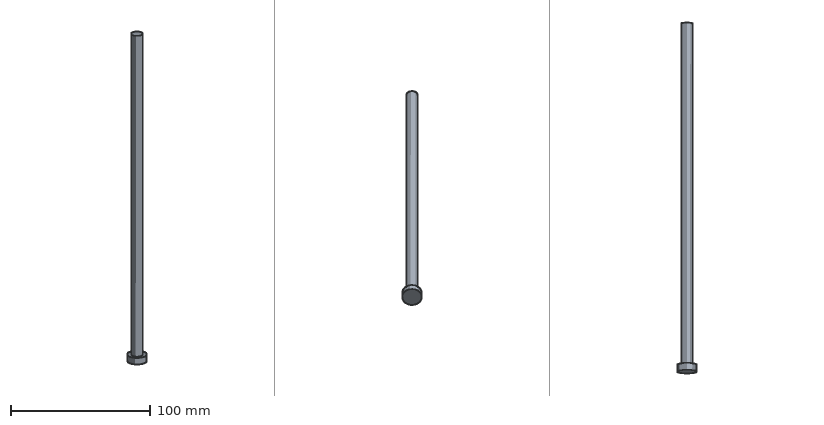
import cadquery as cq

total_length = 255.0
head_diameter = 14.0
head_height = 5.0
shank_diameter = 8.5

head = cq.Workplane("XY").circle(head_diameter / 2).extrude(head_height)
shank = cq.Workplane("XY").circle(shank_diameter / 2).extrude(total_length)

result = head.union(shank)